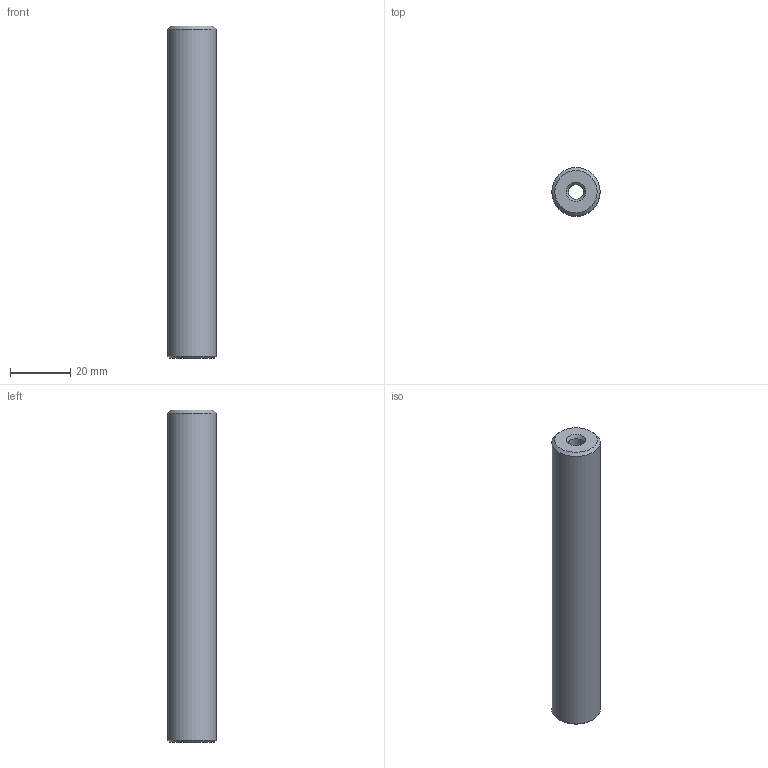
import cadquery as cq
import math

LENGTH = 110.0
OUTER_DIAMETER = 16.0
TOP_CHAMFER = 1.0
BOTTOM_CHAMFER = 0.5
BORE_DIAMETER = 5.0
BORE_MOUTH_DIAMETER = 6.4
COUNTERSINK_ANGLE = 60.0

OUTER_RADIUS = OUTER_DIAMETER / 2
BORE_RADIUS = BORE_DIAMETER / 2
MOUTH_RADIUS = BORE_MOUTH_DIAMETER / 2
COUNTERSINK_DEPTH = (MOUTH_RADIUS - BORE_RADIUS) / math.tan(math.radians(COUNTERSINK_ANGLE / 2))


def revolve_about_z(half_section):
    """Solid of revolution about Z from (radius, height) points."""
    profile = cq.Workplane("XZ").polyline(half_section).close()
    return profile.revolve(360, (0, 0, 0), (0, 1, 0))


def make_pin():
    """Cylinder along Z, standing on the XY plane, with a 45 degree chamfer at each end."""
    return revolve_about_z([
        (0, 0),
        (OUTER_RADIUS - BOTTOM_CHAMFER, 0),
        (OUTER_RADIUS, BOTTOM_CHAMFER),
        (OUTER_RADIUS, LENGTH - TOP_CHAMFER),
        (OUTER_RADIUS - TOP_CHAMFER, LENGTH),
        (0, LENGTH),
    ])


def make_bore():
    """Axial through bore with a conical countersink at the top end."""
    return revolve_about_z([
        (0, 0),
        (BORE_RADIUS, 0),
        (BORE_RADIUS, LENGTH - COUNTERSINK_DEPTH),
        (MOUTH_RADIUS, LENGTH),
        (0, LENGTH),
    ])


result = make_pin().cut(make_bore())